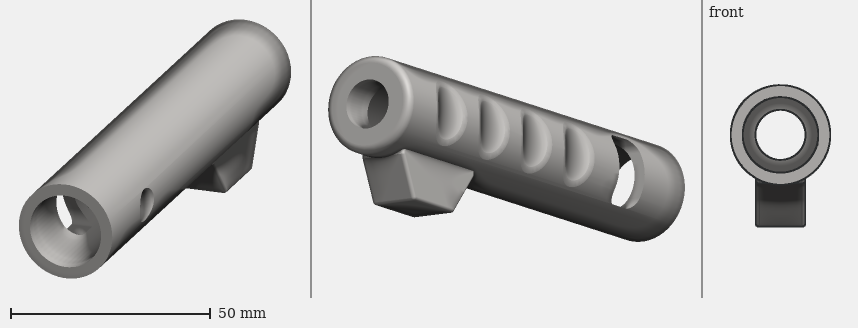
import cadquery as cq

tube_length = 130.0
tube_radius = 25.0 / 2
rear_edge_fillet = 2.0
mouth_radius = 19.0 / 2
mouth_depth = 35.0
bore_radius = 18.8 / 2
bore_depth = 120.0
rear_hole_radius = 12.5 / 2

groove_count = 4
groove_pitch = 20.0
first_groove_y = 49.9
groove_radius = 18.8 / 2
groove_depth = 2.5
groove_edge_fillet = 2.5

window_y = 25.0
window_length = 12.0
window_height = 17.7
window_corner = 3.0
screw_hole_diameter = 5.0
countersink_diameter = 10.0
countersink_angle = 90

fin_width = 12.5
fin_bottom_z = -23.0
fin_root_z = -12.1
fin_root_front_y = 89.2
fin_root_rear_y = 123.0
fin_tip_front_y = 98.9
fin_tip_rear_y = 117.6
fin_corner_fillet = 1.0
fin_edge_fillet = 0.9


def y_cylinder(radius, length):
    """Cylinder on the tube axis, from the open end toward the rear."""
    return cq.Workplane("XZ").circle(radius).extrude(-length)


def make_grip():
    """Solid round bar with the finger grooves and all outer edges rounded."""
    bar = y_cylinder(tube_radius, tube_length).faces(">Y").edges().fillet(rear_edge_fillet)
    groove_x = -tube_radius + groove_depth - groove_radius
    centers = [(groove_x, first_groove_y + i * groove_pitch) for i in range(groove_count)]
    cutters = (
        cq.Workplane("XY")
        .pushPoints(centers)
        .circle(groove_radius)
        .extrude(tube_radius, both=True)
    )
    for cutter in cutters.solids().vals():
        bar = bar.cut(cq.Workplane(cutter))
    groove_mouths = cq.selectors.BoxSelector(
        (-tube_radius, first_groove_y - groove_pitch / 2, -tube_radius),
        (0, tube_length - 2 * rear_edge_fillet, tube_radius),
    )
    return bar.edges(groove_mouths).edges("not |Y").fillet(groove_edge_fillet)


def make_fin():
    """Trapezoidal fin on a straight neck, with rounded lower and end edges."""
    fin = (
        cq.Workplane("YZ")
        .moveTo(fin_root_front_y, fin_root_z)
        .lineTo(fin_tip_front_y, fin_bottom_z)
        .lineTo(fin_tip_rear_y, fin_bottom_z)
        .lineTo(fin_root_rear_y, fin_root_z)
        .lineTo(fin_root_rear_y, -rear_hole_radius)
        .lineTo(fin_root_front_y, -rear_hole_radius)
        .close()
        .extrude(fin_width / 2, both=True)
    )
    fin = fin.faces("<Z").edges("|X").fillet(fin_corner_fillet)
    return fin.faces("not (>Z or >X or <X)").edges("(>X or <X) and (not >Z)").fillet(fin_edge_fillet)


def make_window():
    """Cutter for the rounded rectangular window, reaching in to the tube axis."""
    return (
        cq.Workplane("YZ")
        .center(window_y, 0)
        .rect(window_length, window_height)
        .extrude(-tube_radius)
        .edges("|X")
        .fillet(window_corner)
    )


def add_screw_hole(body):
    """Drill the countersunk hole through the +X wall only."""
    return (
        body.copyWorkplane(cq.Workplane("YZ", origin=(tube_radius, window_y, 0)))
        .cskHole(screw_hole_diameter, countersink_diameter, countersink_angle, depth=tube_radius)
    )


body = make_grip().union(make_fin())
body = body.cut(y_cylinder(rear_hole_radius, tube_length))
body = body.cut(y_cylinder(bore_radius, bore_depth))
body = body.cut(y_cylinder(mouth_radius, mouth_depth))
body = body.cut(make_window())
result = add_screw_hole(body)